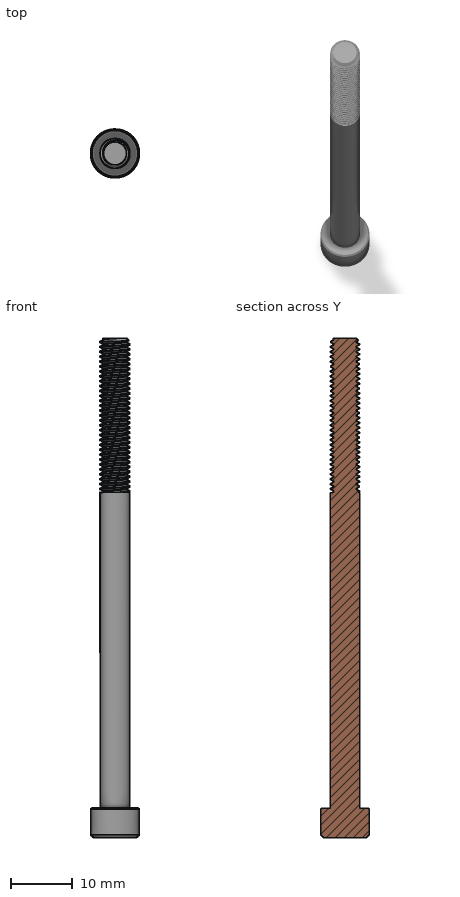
import cadquery as cq
import math

total_length = 81.0
shank_diameter = 4.9
shank_radius = shank_diameter / 2

head_diameter = 7.95
head_height = shank_diameter
head_bottom_chamfer = 0.5
head_top_chamfer = 0.25

thread_length = 25.0
thread_base_z = total_length - thread_length
thread_pitch = 0.795
thread_depth = 0.6
root_radius = shank_radius - thread_depth
root_width = 0.1
crest_width = thread_pitch / 8
first_crest_drop = 0.25
end_chamfer = thread_depth
half_crest = crest_width / 2
half_ridge = (thread_pitch - root_width) / 2
thread_profile = [
    (root_radius, -half_ridge),
    (shank_radius, -half_crest),
    (shank_radius, half_crest),
    (root_radius, half_ridge),
    (root_radius, thread_pitch - half_ridge),
]


def make_head():
    """Cylindrical head with both rims bevelled."""
    head = cq.Workplane("XY").circle(head_diameter / 2).extrude(head_height)
    head = head.faces("<Z").chamfer(head_bottom_chamfer)
    return head.faces(">Z").chamfer(head_top_chamfer)


def make_shank():
    """Plain round shank between the head and the thread."""
    shank_length = thread_base_z - head_height
    return cq.Workplane("XY").workplane(offset=head_height).circle(shank_radius).extrude(shank_length)


def make_helix(radius, start_z):
    """One turn of a helix about the screw axis, starting on the +X side."""
    return cq.Wire.makeHelix(thread_pitch, thread_pitch, radius, center=cq.Vector(0, 0, start_z))


def make_end_faces(crest_z):
    """Helicoid and flat step that close the helical rod where the crest starts at crest_z."""
    start_z = crest_z - half_ridge
    axis = cq.Wire.makePolygon([(0, 0, start_z), (0, 0, start_z + thread_pitch)])
    step = [(0, 0, start_z)]
    step += [(radius, 0, crest_z + rise) for radius, rise in thread_profile]
    step.append((0, 0, start_z + thread_pitch))
    helicoid = cq.Face.makeRuledSurface(axis, make_helix(root_radius, start_z))
    return helicoid.Faces() + [cq.Face.makeFromWires(cq.Wire.makePolygon(step, close=True))]


def make_helical_rod():
    """Rod with a full thread that is longer than needed at both ends."""
    spare_turns = 3
    turns = math.ceil(thread_length / thread_pitch) + 2 * spare_turns
    top_z = total_length - first_crest_drop + spare_turns * thread_pitch
    bottom_z = top_z - turns * thread_pitch
    faces = make_end_faces(bottom_z) + make_end_faces(top_z)
    for turn in range(turns):
        turn_z = bottom_z + turn * thread_pitch
        for (radius_a, rise_a), (radius_b, rise_b) in zip(thread_profile, thread_profile[1:]):
            lower = make_helix(radius_a, turn_z + rise_a)
            upper = make_helix(radius_b, turn_z + rise_b)
            faces += cq.Face.makeRuledSurface(lower, upper).Faces()
    return cq.Workplane(obj=cq.Solid.makeSolid(cq.Shell.makeShell(faces)))


def make_thread():
    """Threaded end of the screw: the helical rod trimmed to length, with a bevelled tip."""
    clearance = 0.4
    envelope = (
        cq.Workplane("XY")
        .workplane(offset=thread_base_z)
        .circle(shank_radius + clearance)
        .extrude(thread_length)
        .faces(">Z")
        .chamfer(end_chamfer + clearance)
    )
    return make_helical_rod().intersect(envelope)


result = make_head().union(make_shank()).union(make_thread())